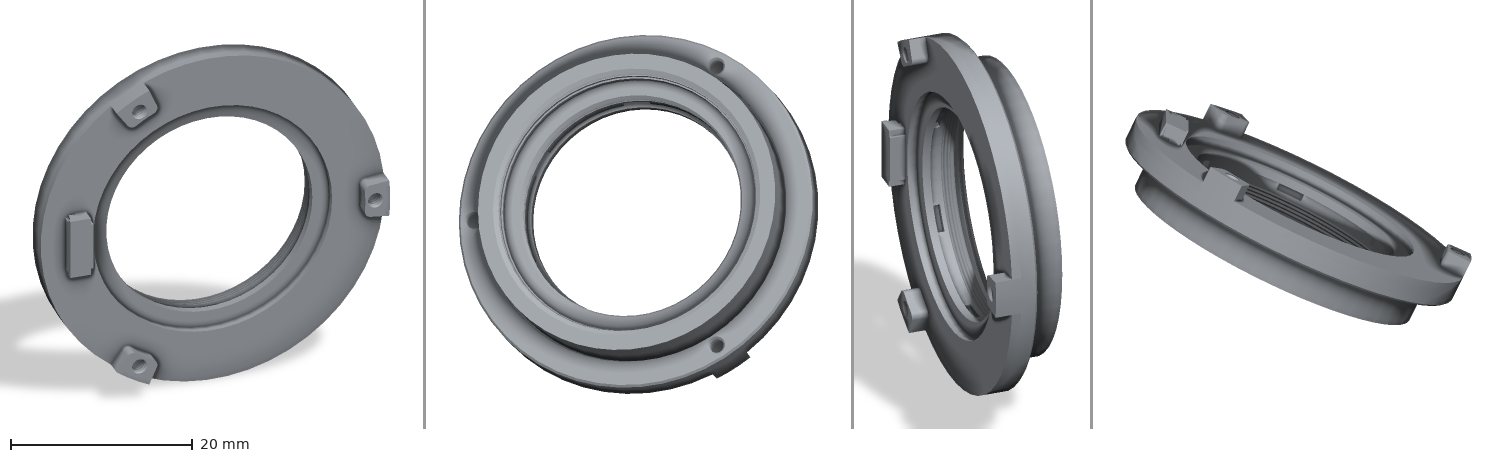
import cadquery as cq
import math


FLANGE_FRONT = 4.0
LIP_FRONT = 5.0
FLANGE_BACK = 5.9
RING_BACK = 7.0
BLOCK_BACK = 8.8
LUG_BACK = 8.9

OUTER_RADIUS = 40.0 / 2
FLANGE_CHAMFER = 0.25
RECESS_RADIUS = 34.2 / 2
LIP_RADIUS = 24.0 / 2
RING_BORE_RADIUS = 27.8 / 2
LUG_INNER_RADIUS = 34.2 / 2
LUG_ANGLE = 12.6
LUG_EDGE_FILLET = 0.7
LUG_CENTRES = (0, 120, 240)
CUTTER_RADIUS = 22.0

SCREW_CIRCLE_RADIUS = 18.3
SCREW_MINOR_RADIUS = 0.8
SCREW_MAJOR_RADIUS = 1.0

SLEEVE_RADIUS = 33.6 / 2
FRONT_THREAD_MINOR_RADIUS = 29.2 / 2
FRONT_THREAD_MAJOR_RADIUS = 30.2 / 2
FRONT_THREAD_END = 0.8
SHOULDER_RADIUS = 29.0 / 2
SHOULDER_END = 1.2
SEAT_RADIUS = 28.6 / 2
SEAT_END = 2.0
REAR_BORE_RADIUS = 24.8 / 2
REAR_THREAD_MAJOR_RADIUS = 25.2 / 2
REAR_THREAD_END = 3.6
THREAD_PITCH = 0.4

WINDOW_FRONT = 4.08
WINDOW_RADIUS = 26.2 / 2
WINDOW_ANGLE = 14.0
WINDOW_COUNT = 6

BLOCK_WIDTH = 7.0
BLOCK_OUTER_Y = -17.2
BLOCK_INNER_Y = -14.8
RIB_INNER_Y = -14.45
INSERT_LENGTH = 5.48
INSERT_FRONT = 7.15
INSERT_BACK = 8.5
INSERT_CORNER_RADIUS = 0.4
INSERT_DEPTH = 0.8
NOTCH_WIDTH = 0.35
NOTCH_ROOT_Y = -16.05
NOTCH_ROOT_BACK = 7.27
BARB_BACK = 8.2
BARB_START_Y = -16.83
BARB_END_Y = -17.0


def revolve(profile):
    """Turn a profile of (x, radius) points around the X axis."""
    return cq.Workplane("XY").polyline(profile).close().revolve(360, (0, 0, 0), (1, 0, 0))


def tube(front, back, inner_radius, outer_radius):
    """Make a plain ring between two stations on the X axis."""
    return revolve([(front, inner_radius), (front, outer_radius), (back, outer_radius), (back, inner_radius)])


def sector(front, back, inner_radius, outer_radius, centre, angle):
    """Make a piece of a ring that spans an angle about its centre direction."""
    start = math.radians(centre - angle / 2)
    middle = math.radians(centre)
    end = math.radians(centre + angle / 2)

    def point(radius, direction):
        return (radius * math.cos(direction), radius * math.sin(direction))

    return (
        cq.Workplane("YZ", origin=(front, 0, 0))
        .moveTo(*point(inner_radius, start))
        .lineTo(*point(outer_radius, start))
        .threePointArc(point(outer_radius, middle), point(outer_radius, end))
        .lineTo(*point(inner_radius, end))
        .threePointArc(point(inner_radius, middle), point(inner_radius, start))
        .close()
        .extrude(back - front)
    )


def thread_cutter(front, back, minor_radius, major_radius):
    """Make a core with ring-shaped V ridges, which cuts a thread form into a bore."""
    turns = round((back - front) / THREAD_PITCH)
    profile = [(front, 0), (front, major_radius)]
    for turn in range(turns):
        start = front + turn * THREAD_PITCH
        profile.append((start + THREAD_PITCH / 2, minor_radius))
        profile.append((start + THREAD_PITCH, major_radius))
    profile.append((front + turns * THREAD_PITCH, 0))
    return revolve(profile)


def lug_prism(centre):
    """Make a bar along X with the outline of one lug, left oversize on the outside."""
    bar = sector(FLANGE_BACK, LUG_BACK, LUG_INNER_RADIUS, CUTTER_RADIUS, 0, LUG_ANGLE)
    bar = bar.edges("|X").edges("<Y").fillet(LUG_EDGE_FILLET)
    return bar.rotate((0, 0, 0), (1, 0, 0), centre)


def make_flange(lug_prisms):
    """Make the flange with its front recess, lip, lugs and threaded screw holes."""
    flange = revolve(
        [
            (FLANGE_FRONT, RECESS_RADIUS),
            (FLANGE_FRONT, OUTER_RADIUS - FLANGE_CHAMFER),
            (FLANGE_FRONT + FLANGE_CHAMFER, OUTER_RADIUS),
            (LUG_BACK, OUTER_RADIUS),
            (LUG_BACK, LIP_RADIUS),
            (LIP_FRONT, LIP_RADIUS),
            (LIP_FRONT, RECESS_RADIUS),
        ]
    )
    around_lugs = tube(FLANGE_BACK, LUG_BACK, 0, CUTTER_RADIUS)
    for prism in lug_prisms:
        around_lugs = around_lugs.cut(prism)
    flange = flange.cut(around_lugs)
    cutter = thread_cutter(FLANGE_FRONT, LUG_BACK + THREAD_PITCH, SCREW_MINOR_RADIUS, SCREW_MAJOR_RADIUS)
    for centre in LUG_CENTRES:
        hole = cutter.translate((0, SCREW_CIRCLE_RADIUS, 0)).rotate((0, 0, 0), (1, 0, 0), centre)
        flange = flange.cut(hole)
    return flange


def make_rear_ring(lug_prisms):
    """Make the rear ring, notched where the lugs pass through it."""
    ring = tube(FLANGE_BACK, RING_BACK, RING_BORE_RADIUS, OUTER_RADIUS)
    for prism in lug_prisms:
        ring = ring.cut(prism)
    return ring


def make_sleeve():
    """Make the sleeve with two threads, a stepped bore and windows at its rear end."""
    sleeve = revolve(
        [
            (0, FRONT_THREAD_MINOR_RADIUS),
            (0, SLEEVE_RADIUS),
            (LIP_FRONT, SLEEVE_RADIUS),
            (LIP_FRONT, REAR_BORE_RADIUS),
            (SEAT_END, REAR_BORE_RADIUS),
            (SEAT_END, SEAT_RADIUS),
            (SHOULDER_END, SEAT_RADIUS),
            (SHOULDER_END, SHOULDER_RADIUS),
            (FRONT_THREAD_END, SHOULDER_RADIUS),
            (FRONT_THREAD_END, FRONT_THREAD_MINOR_RADIUS),
        ]
    )
    sleeve = sleeve.cut(thread_cutter(0, FRONT_THREAD_END, FRONT_THREAD_MINOR_RADIUS, FRONT_THREAD_MAJOR_RADIUS))
    sleeve = sleeve.cut(thread_cutter(SEAT_END, REAR_THREAD_END, REAR_BORE_RADIUS, REAR_THREAD_MAJOR_RADIUS))
    window_step = 360 / WINDOW_COUNT
    for index in range(WINDOW_COUNT):
        centre = (index + 0.5) * window_step
        sleeve = sleeve.cut(sector(WINDOW_FRONT, LIP_FRONT, LIP_RADIUS, WINDOW_RADIUS, centre, WINDOW_ANGLE))
    return sleeve


def make_insert():
    """Make the rounded plate that sits flush in the outer face of the block."""
    return (
        cq.Workplane("XZ", origin=((INSERT_FRONT + INSERT_BACK) / 2, BLOCK_OUTER_Y, 0))
        .rect(INSERT_BACK - INSERT_FRONT, INSERT_LENGTH)
        .extrude(-INSERT_DEPTH)
        .edges("|Y")
        .fillet(INSERT_CORNER_RADIUS)
    )


def make_block(insert):
    """Make the block with its inner rib, end notches and the pocket for the insert."""

    def bar(inner_y, outer_y, width):
        return (
            cq.Workplane("XY", origin=(0, 0, -width / 2))
            .moveTo(RING_BACK, inner_y)
            .lineTo(BLOCK_BACK, inner_y)
            .lineTo(BLOCK_BACK, outer_y)
            .lineTo(RING_BACK, outer_y)
            .close()
            .extrude(width)
        )

    block = bar(BLOCK_INNER_Y, BLOCK_OUTER_Y, BLOCK_WIDTH).union(bar(RIB_INNER_Y, BLOCK_INNER_Y, INSERT_LENGTH))
    notch_profile = [
        (RING_BACK, NOTCH_ROOT_Y),
        (NOTCH_ROOT_BACK, NOTCH_ROOT_Y),
        (NOTCH_ROOT_BACK, BARB_START_Y),
        (BARB_BACK, BARB_END_Y),
        (BARB_BACK, BLOCK_OUTER_Y),
        (RING_BACK, BLOCK_OUTER_Y),
    ]
    for notch_bottom in (-BLOCK_WIDTH / 2, BLOCK_WIDTH / 2 - NOTCH_WIDTH):
        notch = cq.Workplane("XY", origin=(0, 0, notch_bottom)).polyline(notch_profile).close().extrude(NOTCH_WIDTH)
        block = block.cut(notch)
    return block.cut(insert)


lug_prisms = [lug_prism(centre) for centre in LUG_CENTRES]
flange = make_flange(lug_prisms)
rear_ring = make_rear_ring(lug_prisms)
sleeve = make_sleeve()
insert = make_insert()
block = make_block(insert)

result = cq.Compound.makeCompound([flange.val(), rear_ring.val(), sleeve.val(), block.val(), insert.val()])